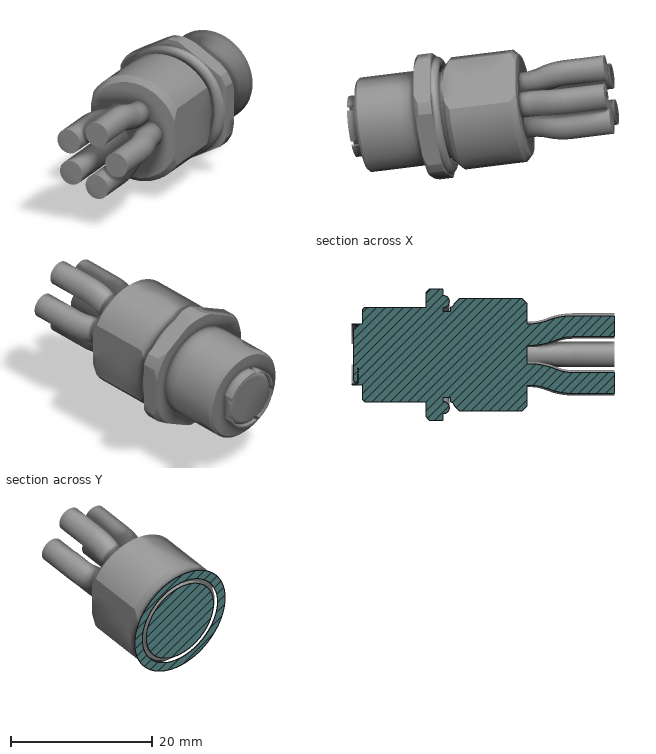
import cadquery as cq
import math


TIP = 0.0
BODY_FRONT = -1.5
FLANGE_FRONT = -10.45
FLANGE_BACK = -12.95
NECK_FRONT = -13.97
SHOULDER = -14.5
SHELL_BACK = -24.9
WIRE_BEND_START = -25.33
WIRE_BEND_END = -31.25
WIRE_END = -37.25

WIRE_END_ANGLES = (0, 76.4, 150, 220, 283.6)
POLE_PITCH = 360 / len(WIRE_END_ANGLES)
WIRE_RADIUS = 3.6 / 2
POLE_CIRCLE_RADIUS = 2.98
WIRE_END_CIRCLE_RADIUS = 4.15

INSERT_RADIUS = 4.35
INSERT_FLAT = 3.87
RIM_THICKNESS = 0.22
CORE_RECESS = 0.22
CORE_ROUNDING = 0.7
SLOT_TOP_WIDTH = 0.95
SLOT_FLOOR_WIDTH = 0.52
SLOT_ANGLES = (180 - POLE_PITCH, 180, 180 + POLE_PITCH)

BODY_RADIUS = 13.5 / 2
BODY_CHAMFER = 0.37
HEX_SIDES = 6
HEX_ACROSS_FLATS = 17.0
HEX_CORNER_RADIUS = 18.7 / 2
HEX_CHAMFER = 0.55
SEAL_RADIUS = 8.4
SEAL_SECTION_RADIUS = 0.9
SEAL_SEAT_RADIUS = 12.3 / 2

SHELL_RADIUS = 16.0 / 2
SHELL_CHAMFER = 0.8
SHELL_FLAT_WIDTH = 2 * BODY_RADIUS
NECK_FILLET = 0.5


def revolve_about_y(profile):
    """Turn a closed profile of (radius, Y) points about the Y axis."""
    return profile.close().revolve(360, (0, 0, 0), (0, 1, 0))


def disc(radius, front, back):
    """Round disc between two Y positions."""
    return cq.Workplane("XZ", origin=(0, front, 0)).circle(radius).extrude(front - back)


def make_insert():
    """Recessed core inside a thin rim, with a flat on +X and slots on the side away from the flat."""
    core_radius = INSERT_RADIUS - RIM_THICKNESS
    core_front = TIP - CORE_RECESS
    rounding_offset = CORE_ROUNDING * (1 - math.sqrt(0.5))

    core = revolve_about_y(
        cq.Workplane("XY")
        .moveTo(0, core_front)
        .lineTo(core_radius - CORE_ROUNDING, core_front)
        .threePointArc(
            (core_radius - rounding_offset, core_front - rounding_offset),
            (core_radius, core_front - CORE_ROUNDING),
        )
        .lineTo(core_radius, BODY_FRONT)
        .lineTo(0, BODY_FRONT)
    )
    rim = disc(INSERT_RADIUS, TIP, BODY_FRONT).cut(disc(core_radius, TIP, BODY_FRONT))

    side_run = (SLOT_TOP_WIDTH - SLOT_FLOOR_WIDTH) / 2
    outer_half_width = SLOT_TOP_WIDTH / 2 + side_run
    floor_half_width = SLOT_FLOOR_WIDTH / 2
    clear_radius = INSERT_RADIUS + RIM_THICKNESS
    inner_radius = core_radius - RIM_THICKNESS
    slot = (
        cq.Workplane("XZ", origin=(0, TIP, 0))
        .polyline([
            (inner_radius, -floor_half_width),
            (core_radius, -floor_half_width),
            (clear_radius, -outer_half_width),
            (clear_radius, outer_half_width),
            (core_radius, floor_half_width),
            (inner_radius, floor_half_width),
        ])
        .close()
        .extrude(TIP - BODY_FRONT)
    )
    for slot_angle in SLOT_ANGLES:
        rim = rim.cut(slot.rotate((0, 0, 0), (0, 1, 0), slot_angle))

    beyond_flat = (
        cq.Workplane("XY", origin=(INSERT_FLAT, BODY_FRONT, 0))
        .box(INSERT_RADIUS, TIP - BODY_FRONT, 2 * INSERT_RADIUS, centered=(False, False, True))
    )
    return core.union(rim).cut(beyond_flat)


def make_front_body():
    """Round body with a chamfered front edge."""
    return disc(BODY_RADIUS, BODY_FRONT, FLANGE_FRONT).faces(">Y").chamfer(BODY_CHAMFER)


def make_flange():
    """Hexagon with flats on +X and -X, its corners turned round and chamfered at the front."""
    half_side_angle = 180 / HEX_SIDES
    hex_diameter = HEX_ACROSS_FLATS / math.cos(math.radians(half_side_angle))
    thickness = FLANGE_FRONT - FLANGE_BACK
    hexagon = (
        cq.Workplane("XZ", origin=(0, FLANGE_FRONT, 0))
        .polygon(HEX_SIDES, hex_diameter)
        .extrude(thickness)
        .rotate((0, 0, 0), (0, 1, 0), half_side_angle)
    )
    turned = disc(HEX_CORNER_RADIUS, FLANGE_FRONT, FLANGE_BACK).faces(">Y").chamfer(HEX_CHAMFER)
    return hexagon.intersect(turned)


def make_seal():
    """Sealing ring half sunk in the back of the flange, and the round seat inside it."""
    ring_radius = SEAL_RADIUS - SEAL_SECTION_RADIUS
    ring = (
        cq.Workplane("XY")
        .center(ring_radius, FLANGE_BACK)
        .circle(SEAL_SECTION_RADIUS)
        .revolve(360, (-ring_radius, 0, 0), (-ring_radius, 1, 0))
    )
    return disc(SEAL_SEAT_RADIUS, FLANGE_BACK, NECK_FRONT).union(ring)


def make_rear_shell():
    """Chamfered shell with two side flats, led into by a filleted neck."""
    chamfer_radius = SHELL_RADIUS - SHELL_CHAMFER
    shoulder_radius = BODY_RADIUS + NECK_FILLET
    fillet_offset = NECK_FILLET * (1 - math.sqrt(0.5))
    turned = revolve_about_y(
        cq.Workplane("XY")
        .moveTo(0, NECK_FRONT)
        .lineTo(BODY_RADIUS, NECK_FRONT)
        .lineTo(BODY_RADIUS, SHOULDER + NECK_FILLET)
        .threePointArc(
            (BODY_RADIUS + fillet_offset, SHOULDER + fillet_offset),
            (shoulder_radius, SHOULDER),
        )
        .lineTo(SHELL_RADIUS, SHOULDER - (SHELL_RADIUS - shoulder_radius))
        .lineTo(SHELL_RADIUS, SHELL_BACK + SHELL_CHAMFER)
        .lineTo(chamfer_radius, SHELL_BACK)
        .lineTo(0, SHELL_BACK)
    )
    flats = (
        cq.Workplane("XZ", origin=(0, NECK_FRONT, 0))
        .rect(SHELL_FLAT_WIDTH, 2 * SHELL_RADIUS)
        .extrude(NECK_FRONT - SHELL_BACK)
    )
    return turned.intersect(flats)


def polar_xz(radius, angle):
    """X and Z of a point at an angle measured from +X towards +Z."""
    return radius * math.cos(math.radians(angle)), radius * math.sin(math.radians(angle))


def make_wire(pole_angle, end_angle):
    """Wire leaving the shell at its pole and shifted sideways by an S-bend of two equal arcs."""
    pole_x, pole_z = polar_xz(POLE_CIRCLE_RADIUS, pole_angle)
    end_x, end_z = polar_xz(WIRE_END_CIRCLE_RADIUS, end_angle)
    shift_x = end_x - pole_x
    shift_z = end_z - pole_z
    shift = math.hypot(shift_x, shift_z)

    bend_plane = cq.Plane(
        origin=(pole_x, SHELL_BACK, pole_z),
        xDir=(shift_x, 0, shift_z),
        normal=(shift_z, 0, -shift_x),
    )
    bend_start = SHELL_BACK - WIRE_BEND_START
    bend_half = (WIRE_BEND_START - WIRE_BEND_END) / 2
    path = (
        cq.Workplane(bend_plane)
        .lineTo(0, bend_start)
        .tangentArcPoint((shift / 2, bend_half))
        .tangentArcPoint((shift / 2, bend_half))
        .lineTo(shift, SHELL_BACK - WIRE_END)
    )
    section = cq.Workplane("XZ", origin=(pole_x, SHELL_BACK, pole_z)).circle(WIRE_RADIUS)
    return section.sweep(path)


result = (
    make_insert()
    .union(make_front_body())
    .union(make_flange())
    .union(make_seal())
    .union(make_rear_shell())
)
for pole, wire_end_angle in enumerate(WIRE_END_ANGLES):
    result = result.union(make_wire(pole * POLE_PITCH, wire_end_angle))